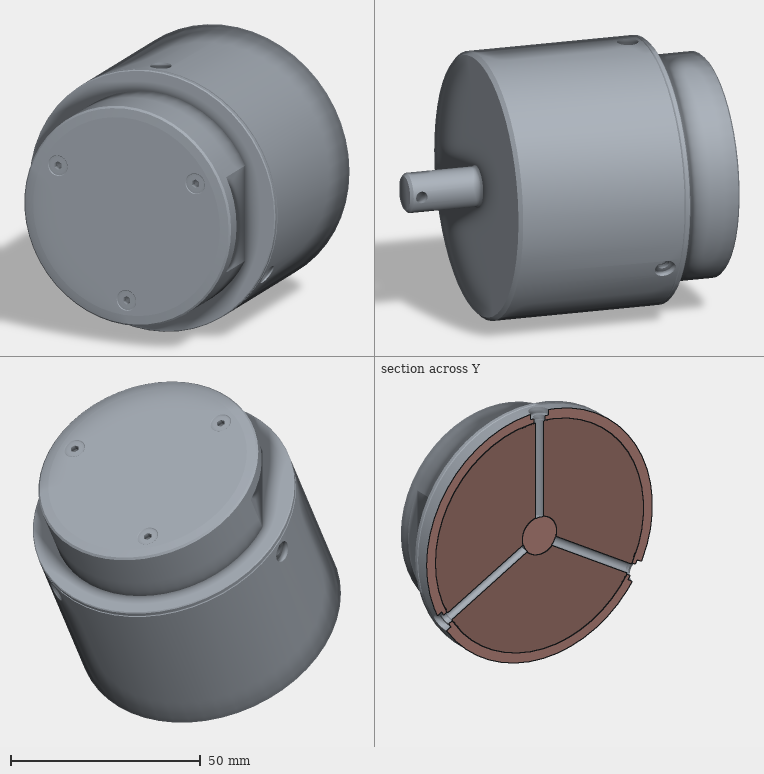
import cadquery as cq
import math


housing_length = 45.9
flange_thickness = 1.7
cap_length = 15.95
shaft_projection = 19.95

body_radius = 71.6 / 2
housing_chamfer = 1.0
flange_front_chamfer = 0.25
flange_back_chamfer = 0.4
spigot_radius = 32.8
spigot_length = 8.35

radial_hole_y = 3.8
radial_hole_angles = (90, 210, 330)
counterbore_radius = 2.8
counterbore_depth = 1.7
clearance_radius = 1.6
tapped_radius = 1.25

cap_radius = 30.1
cap_face_radius = 27.1
cap_face_rise = 0.25
cap_chamfer = 0.5
cap_flat_x = 27.05
cap_lip_thickness = 4.2

shaft_radius = 5.35
shaft_end_chamfer = 0.75
shaft_foot_radius = 5.7
shaft_foot_height = 0.6
shaft_flat_x = 4.3
shaft_flat_length = 12.0
cross_hole_radius = 1.6
cross_hole_inset = 3.0

screw_circle_radius = 23.05
screw_angles = (30, 150, 270)
countersink_radius = 2.8
screw_recess = 0.2
screw_shank_radius = 1.5
screw_length = 20.0
socket_flats = 2.0
socket_depth = 1.5
hexagon_turn = 30
socket_tip_depth = 0.6

housing_back = housing_length
flange_front = -flange_thickness
cap_front = flange_front - cap_length
shaft_end = housing_back + shaft_projection


def revolved(profile):
    """Solid of revolution about Y from (radius, y) points."""
    return cq.Workplane("XY").polyline(profile).close().revolve(360, (0, 0, 0), (0, 1, 0))


def cylinder(radius, y_start, y_end):
    """Cylinder on the Y axis."""
    return cq.Workplane("XZ", origin=(0, y_start, 0)).circle(radius).extrude(y_start - y_end)


def radial_cylinder(angle, radius, inner, outer):
    """Cylinder pointing away from the Y axis, between two distances from it."""
    direction = cq.Vector(math.cos(math.radians(angle)), 0, math.sin(math.radians(angle)))
    start = direction * inner + cq.Vector(0, radial_hole_y, 0)
    return cq.Workplane(cq.Solid.makeCylinder(radius, outer - inner, start, direction))


def make_shaft():
    """Plain shaft with a conical foot on the housing, an end flat and a cross hole."""
    foot_top = housing_back + shaft_foot_height
    shaft = revolved(
        [
            (0, 0),
            (shaft_radius, 0),
            (shaft_radius, housing_back),
            (shaft_foot_radius, housing_back),
            (shaft_radius, foot_top),
            (shaft_radius, shaft_end - shaft_end_chamfer),
            (shaft_radius - shaft_end_chamfer, shaft_end),
            (0, shaft_end),
        ]
    )
    flat_cut = cq.Workplane("XY").box(
        shaft_radius, shaft_flat_length, 2 * shaft_radius, centered=(False, False, True)
    ).translate((shaft_flat_x, shaft_end - shaft_flat_length, 0))
    cross_hole = (
        cq.Workplane("YZ")
        .center(shaft_end - cross_hole_inset, 0)
        .circle(cross_hole_radius)
        .extrude(shaft_radius, both=True)
    )
    return shaft.cut(flat_cut).cut(cross_hole)


def make_housing():
    """Cylindrical housing with a shaft bore, a recess for the spigot and counterbored radial holes."""
    housing = cylinder(body_radius, 0, housing_back).faces(">Y").chamfer(housing_chamfer)
    housing = housing.cut(cylinder(spigot_radius, 0, spigot_length))
    housing = housing.cut(cylinder(shaft_radius, 0, housing_back))
    counterbore_floor = body_radius - counterbore_depth
    for angle in radial_hole_angles:
        housing = housing.cut(radial_cylinder(angle, counterbore_radius, counterbore_floor, body_radius))
        housing = housing.cut(radial_cylinder(angle, clearance_radius, 0, body_radius))
    return housing


def make_flange():
    """End flange with a spigot that fits the housing, bored for the shaft and tapped radially."""
    flange = cylinder(body_radius, flange_front, 0)
    flange = flange.faces("<Y").chamfer(flange_front_chamfer)
    flange = flange.faces(">Y").chamfer(flange_back_chamfer)
    flange = flange.union(cylinder(spigot_radius, flange_front, spigot_length))
    flange = flange.cut(cylinder(shaft_radius, 0, spigot_length))
    for angle in radial_hole_angles:
        flange = flange.cut(radial_cylinder(angle, tapped_radius, 0, spigot_radius))
    return flange


def make_cap():
    """Round cap with a slightly raised conical front and a flat on +X that leaves a front lip."""
    rim_front = cap_front + cap_face_rise
    cap = revolved(
        [
            (0, flange_front),
            (cap_radius, flange_front),
            (cap_radius, rim_front + cap_chamfer),
            (cap_radius - cap_chamfer, rim_front),
            (cap_face_radius, cap_front),
            (0, cap_front),
        ]
    )
    flat_length = cap_length - cap_lip_thickness
    flat_cut = cq.Workplane("XY").box(
        cap_radius, flat_length, 2 * cap_radius, centered=(False, False, True)
    ).translate((cap_flat_x, flange_front - flat_length, 0))
    return cap.cut(flat_cut)


def screw_place(angle):
    """Offset of a cap screw from the Y axis."""
    angle = math.radians(angle)
    return (screw_circle_radius * math.cos(angle), 0, screw_circle_radius * math.sin(angle))


def make_screw_envelope(head_front, head_radius):
    """Ninety-degree countersunk head and shank, on the Y axis."""
    head_back = head_front + head_radius - screw_shank_radius
    screw_tip = cap_front + screw_recess + screw_length
    return revolved(
        [
            (0, head_front),
            (head_radius, head_front),
            (screw_shank_radius, head_back),
            (screw_shank_radius, screw_tip),
            (0, screw_tip),
        ]
    )


def make_screw(angle):
    """Countersunk screw, slightly below the cap face, with a hexagon socket ending in a drill point."""
    head_front = cap_front + screw_recess
    screw = make_screw_envelope(head_front, countersink_radius - screw_recess)
    socket_floor = head_front + socket_depth
    hexagon_corner = socket_flats / math.sqrt(3)
    socket = (
        cq.Workplane("XZ", origin=(0, head_front, 0))
        .polygon(6, 2 * hexagon_corner)
        .extrude(-socket_depth)
        .rotate((0, 0, 0), (0, 1, 0), hexagon_turn)
    )
    drill_point = revolved(
        [(0, socket_floor), (socket_flats / 2, socket_floor), (0, socket_floor + socket_tip_depth)]
    )
    return screw.cut(socket).cut(drill_point).translate(screw_place(angle))


housing = make_housing()
flange = make_flange()
cap = make_cap()
shaft = make_shaft()

for angle in screw_angles:
    screw_hole = make_screw_envelope(cap_front, countersink_radius).translate(screw_place(angle))
    cap = cap.cut(screw_hole)
    flange = flange.cut(screw_hole)

screws = [make_screw(angle) for angle in screw_angles]

result = cq.Compound.makeCompound(
    [housing.val(), flange.val(), cap.val(), shaft.val(), *[screw.val() for screw in screws]]
)